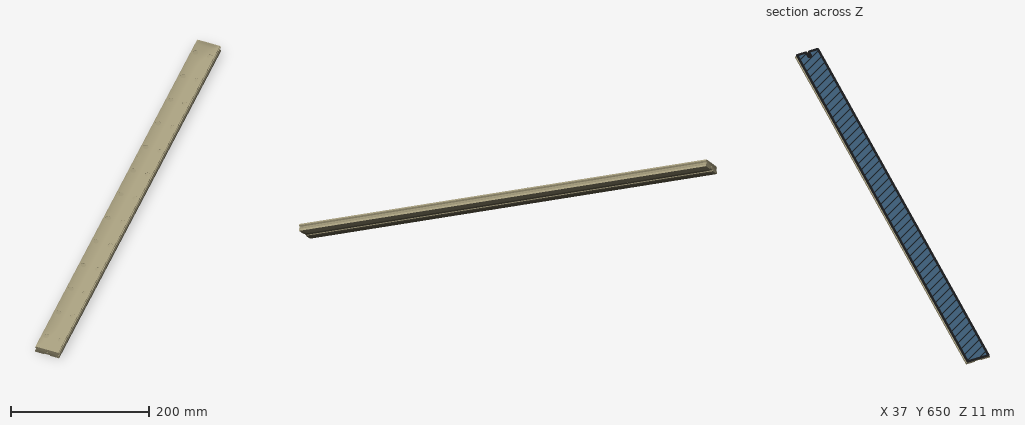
import cadquery as cq

length = 650
width = 37.0
height = 11.0

edge_step = 1.0

groove_depth = 2.0
groove_mouth_bottom = 2.9
groove_mouth_height = 6.0

underside_groove_width = 9.0
underside_groove_depth = 1.0

recesses_per_row = 13
recess_pitch = length / recesses_per_row
row_spacing = 22.0
recess_diameter = 8.0
recess_depth = 0.3

end_hole_diameter = 3.0
end_hole_depth = 10.0
end_hole_height = height / 2


def make_rail_body():
    """Extrude the symmetric cross-section along the length, centred on Y."""
    side = width / 2
    groove_floor = side - groove_depth
    underside_groove_side = underside_groove_width / 2
    groove_mouth_top = groove_mouth_bottom + groove_mouth_height
    step_side = side - edge_step
    step_floor = height - edge_step
    right_half = [
        (underside_groove_side, underside_groove_depth),
        (underside_groove_side, 0),
        (side, 0),
        (side, groove_mouth_bottom),
        (groove_floor, groove_mouth_bottom + groove_depth),
        (groove_floor, groove_mouth_top - groove_depth),
        (side, groove_mouth_top),
        (side, step_floor),
        (step_side, step_floor),
        (step_side, height),
    ]
    left_half = [(-x, z) for x, z in reversed(right_half)]
    profile = cq.Workplane("XZ").polyline(right_half + left_half).close()
    return profile.extrude(length / 2, both=True)


def cut_top_recesses(body):
    """Two rows of recesses, starting half a pitch from each end."""
    recesses = (
        cq.Workplane("XY", origin=(0, 0, height))
        .rarray(row_spacing, recess_pitch, 2, recesses_per_row)
        .circle(recess_diameter / 2)
        .extrude(-recess_depth)
    )
    return body.cut(recesses)


def drill_end_hole(body):
    """Blind hole running inward from the front end face."""
    drill = (
        cq.Workplane("XZ", origin=(0, -length / 2, end_hole_height))
        .circle(end_hole_diameter / 2)
        .extrude(-end_hole_depth)
    )
    return body.cut(drill)


rail = make_rail_body()
rail = cut_top_recesses(rail)
result = drill_end_hole(rail)